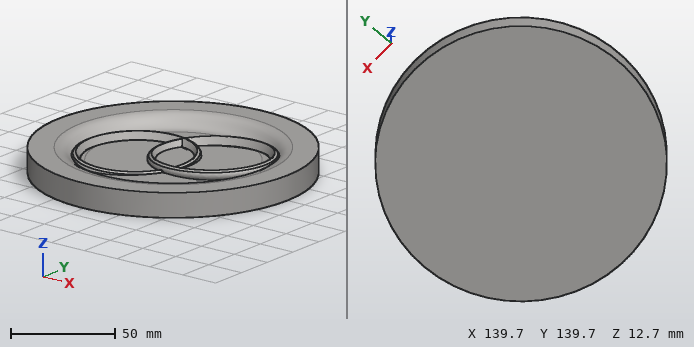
import cadquery as cq
import math

DISH_DIAMETER = 139.66
DISH_THICKNESS = 12.72
RECESS_DIAMETER = 114.2
FLOOR_DIAMETER = 85.0
RECESS_DEPTH = DISH_THICKNESS / 2
FLOOR_Z = DISH_THICKNESS - RECESS_DEPTH

WALL_LENGTH = 4.62
WALL_FLARE = 30.0
SHOULDER_WIDTH = 1.7
DOME_HEIGHT = 1.8

LARGE_HALF_LENGTH = 30.95
LARGE_HALF_WIDTH = 25.9
LARGE_CENTER = (17.58, 8.68)
LARGE_RISE = 4.6
LARGE_TURN = 5.5
LARGE_SLOPE = (0.052, 0.024)

SMALL_SCALE = 0.958
SMALL_CENTER = (-15.65, -8.38)
SMALL_RISE = 3.2
SMALL_TURN = 58.6
SMALL_SLOPE = (-0.077, 0.041)


def make_dish():
    """Plate whose recess wall is a smooth S-curve, level at the rim and at the floor."""
    rim_radius = RECESS_DIAMETER / 2
    floor_radius = FLOOR_DIAMETER / 2
    middle_radius = (rim_radius + floor_radius) / 2
    wall_controls = [
        (rim_radius, DISH_THICKNESS),
        (middle_radius, DISH_THICKNESS),
        (middle_radius, FLOOR_Z),
        (floor_radius, FLOOR_Z),
    ]
    profile = (
        cq.Workplane("XZ")
        .lineTo(DISH_DIAMETER / 2, 0)
        .lineTo(DISH_DIAMETER / 2, DISH_THICKNESS)
        .lineTo(rim_radius, DISH_THICKNESS)
        .bezier(wall_controls)
        .lineTo(0, FLOOR_Z)
        .close()
    )
    return profile.revolve(360, (0, 0, 0), (0, 1, 0))


def make_ring(scale, center, rise, turn, slope):
    """Elliptical ring tilted so that its plane climbs by `slope` along X and Y."""
    half_length = LARGE_HALF_LENGTH * scale
    half_width = LARGE_HALF_WIDTH * scale
    flare = math.radians(WALL_FLARE)
    outward = cq.Vector(math.cos(flare), -math.sin(flare)) * scale
    down = cq.Vector(-math.sin(flare), -math.cos(flare)) * scale

    wall_top = cq.Vector(half_length, 0)
    wall_bottom = wall_top + down * WALL_LENGTH
    shoulder_top = wall_top + outward * SHOULDER_WIDTH
    shoulder_bottom = wall_bottom + outward * SHOULDER_WIDTH
    dome_crown = (wall_top + wall_bottom) * 0.5 + outward * (SHOULDER_WIDTH + DOME_HEIGHT)

    path = cq.Workplane("XY").ellipse(half_length, half_width)
    ring = (
        cq.Workplane("XZ")
        .moveTo(wall_bottom.x, wall_bottom.y)
        .lineTo(wall_top.x, wall_top.y)
        .lineTo(shoulder_top.x, shoulder_top.y)
        .threePointArc((dome_crown.x, dome_crown.y), (shoulder_bottom.x, shoulder_bottom.y))
        .close()
        .sweep(path)
    )

    turn_angle = math.radians(turn)
    along_x, along_y = math.cos(turn_angle), math.sin(turn_angle)
    long_axis = cq.Vector(along_x, along_y, slope[0] * along_x + slope[1] * along_y)
    normal = cq.Vector(-slope[0], -slope[1], 1)
    plane = cq.Plane(origin=(*center, FLOOR_Z + rise), xDir=long_axis, normal=normal)
    return cq.Workplane(ring.val().moved(plane.location))


large_ring = make_ring(1.0, LARGE_CENTER, LARGE_RISE, LARGE_TURN, LARGE_SLOPE)
small_ring = make_ring(SMALL_SCALE, SMALL_CENTER, SMALL_RISE, SMALL_TURN, SMALL_SLOPE).cut(large_ring)
dish = make_dish().cut(large_ring).cut(small_ring)

bodies = [dish, large_ring, small_ring]

result = cq.Compound.makeCompound([body.solids().val() for body in bodies])